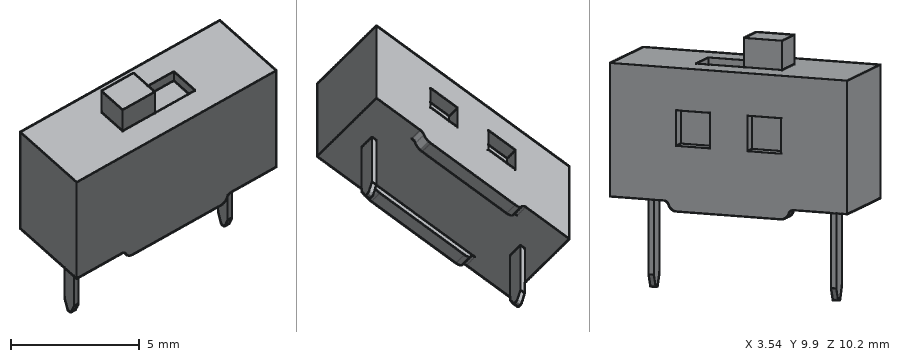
import cadquery as cq
import math


TOTAL_HEIGHT = 10.25
SLIDER_RISE = 1.16
PIN_LENGTH = 3.8
HOUSING_HEIGHT = TOTAL_HEIGHT - SLIDER_RISE - PIN_LENGTH

HOUSING_WIDTH = 3.54
HOUSING_LENGTH = 9.9

FOOT_WIDTH = 0.51
FOOT_LENGTH = 5.02
FOOT_HEIGHT = 0.4
FOOT_ROOT_RADIUS = 0.2
FOOT_CORNER_RADIUS = 0.36
FOOT_END_ANGLE = math.acos(1 - FOOT_HEIGHT / (FOOT_ROOT_RADIUS + FOOT_CORNER_RADIUS))

SLOT_WIDTH = 1.33
SLOT_LENGTH = 3.6
SLOT_DEPTH = 0.5
SLIDER_LENGTH = 1.6

WINDOW_SIZE = 1.4
WINDOW_PITCH = 2.97
WINDOW_DEPTH = 0.5
WINDOW_TOP_GAP = 1.68

PIN_WIDTH = 0.62
PIN_THICKNESS = 0.23
PIN_PITCH = 7.62
TIP_WIDTH = 0.2
TIP_LENGTH = 0.53
TIP_RADIUS = 0.1


def arc_run(radius, angle):
    """Level distance covered by an arc that turns from level through the angle."""
    return radius * math.sin(angle)


def arc_drop(radius, angle):
    """Height covered by an arc that turns from level through the angle."""
    return radius * (1 - math.cos(angle))


def make_foot():
    """One foot on the -X side; each end is a root fillet running into a larger corner round."""
    root_y = FOOT_LENGTH / 2 + arc_run(FOOT_ROOT_RADIUS, FOOT_END_ANGLE)
    corner_y = FOOT_LENGTH / 2 - arc_run(FOOT_CORNER_RADIUS, FOOT_END_ANGLE)
    meeting_z = -arc_drop(FOOT_ROOT_RADIUS, FOOT_END_ANGLE)

    half_angle = FOOT_END_ANGLE / 2
    root_mid_y = root_y - arc_run(FOOT_ROOT_RADIUS, half_angle)
    root_mid_z = -arc_drop(FOOT_ROOT_RADIUS, half_angle)
    corner_mid_y = corner_y + arc_run(FOOT_CORNER_RADIUS, half_angle)
    corner_mid_z = -FOOT_HEIGHT + arc_drop(FOOT_CORNER_RADIUS, half_angle)

    return (
        cq.Workplane("YZ", origin=(-HOUSING_WIDTH / 2, 0, 0))
        .moveTo(-root_y, 0)
        .threePointArc((-root_mid_y, root_mid_z), (-FOOT_LENGTH / 2, meeting_z))
        .threePointArc((-corner_mid_y, corner_mid_z), (-corner_y, -FOOT_HEIGHT))
        .lineTo(corner_y, -FOOT_HEIGHT)
        .threePointArc((corner_mid_y, corner_mid_z), (FOOT_LENGTH / 2, meeting_z))
        .threePointArc((root_mid_y, root_mid_z), (root_y, 0))
        .close()
        .extrude(FOOT_WIDTH)
    )


def make_slot():
    """Cutter for the slider slot, open at the housing top."""
    return (
        cq.Workplane("XY", origin=(0, 0, HOUSING_HEIGHT - SLOT_DEPTH))
        .rect(SLOT_WIDTH, SLOT_LENGTH)
        .extrude(SLOT_DEPTH)
    )


def make_windows():
    """Cutter for the pair of blind windows in the -X side."""
    window_z = HOUSING_HEIGHT - WINDOW_TOP_GAP - WINDOW_SIZE / 2
    return (
        cq.Workplane("YZ", origin=(-HOUSING_WIDTH / 2, 0, window_z))
        .rarray(WINDOW_PITCH, 0.1, 2, 1)
        .rect(WINDOW_SIZE, WINDOW_SIZE)
        .extrude(WINDOW_DEPTH)
    )


def make_housing():
    """Block with a foot along each long side, the slot and the windows."""
    block = cq.Workplane("XY").box(
        HOUSING_WIDTH, HOUSING_LENGTH, HOUSING_HEIGHT, centered=(True, True, False)
    )
    foot = make_foot()
    body = block.union(foot).union(foot.mirror("YZ"))
    return body.cut(make_slot()).cut(make_windows())


def make_slider():
    """Plain block standing on the slot floor against the slot's -Y end."""
    slider_y = (SLIDER_LENGTH - SLOT_LENGTH) / 2
    return (
        cq.Workplane("XY", origin=(0, slider_y, HOUSING_HEIGHT - SLOT_DEPTH))
        .rect(SLOT_WIDTH, SLIDER_LENGTH)
        .extrude(SLOT_DEPTH + SLIDER_RISE)
    )


def make_pin(y):
    """Flat pin hanging from the housing underside, tapered to a rounded tip."""
    return (
        cq.Workplane("XZ", origin=(0, y, 0))
        .moveTo(-PIN_WIDTH / 2, 0)
        .lineTo(-PIN_WIDTH / 2, TIP_LENGTH - PIN_LENGTH)
        .lineTo(-TIP_WIDTH / 2, -PIN_LENGTH)
        .lineTo(TIP_WIDTH / 2, -PIN_LENGTH)
        .lineTo(PIN_WIDTH / 2, TIP_LENGTH - PIN_LENGTH)
        .lineTo(PIN_WIDTH / 2, 0)
        .close()
        .extrude(PIN_THICKNESS / 2, both=True)
        .faces("<Z")
        .edges("|Y")
        .fillet(TIP_RADIUS)
    )


housing = make_housing()
slider = make_slider()
pins = [make_pin(side * PIN_PITCH / 2) for side in (-1, 1)]

result = cq.Compound.makeCompound([housing.val(), slider.val(), *[pin.val() for pin in pins]])